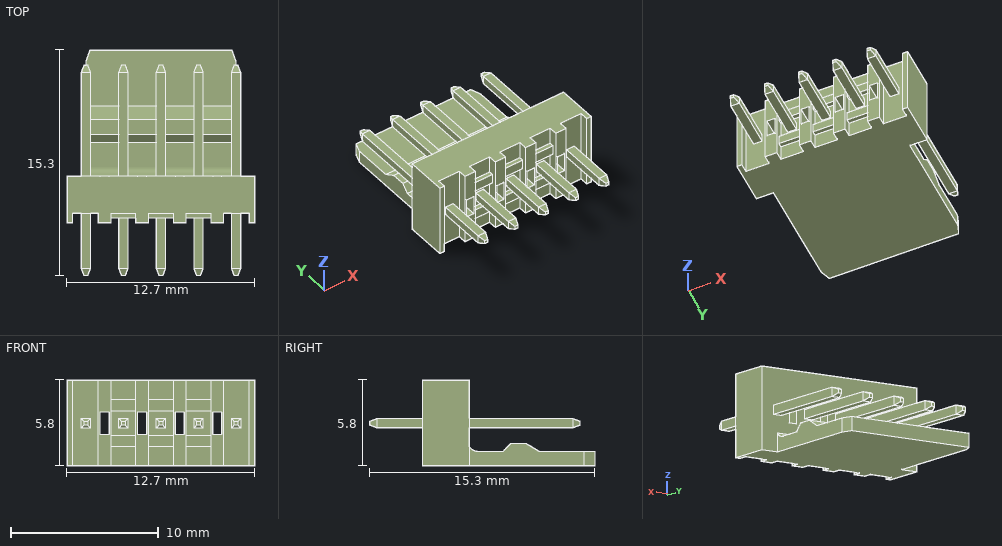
import cadquery as cq
import math

pin_count = 5
pitch = 2.54
housing_length = pin_count * pitch
housing_depth = 3.17
housing_height = 5.8
row_height = 2.88

pocket_depth = 0.65
rib_width = 0.87
end_lip = 0.38

crossbar_height = 0.75
crossbar_gap = 1.68
crossbar_projection = 0.32

window_width = 0.6
window_height = 1.5

pin_side = 0.64
tip_side = 0.26
tip_length = 0.5
pin_front_length = 3.57
pin_rear_length = 7.5

tongue_width = (pin_count - 1) * pitch
tongue_length = 8.52
tongue_thickness = 0.98
ridge_height = 1.52
ridge_near_foot = 2.28
ridge_near_crest = 2.8
ridge_far_crest = 3.83
ridge_far_foot = 4.74
root_length = 0.6
root_rise = 0.33
corner_length = 0.76
corner_width = 0.27

pin_positions = [(i - (pin_count - 1) / 2) * pitch for i in range(pin_count)]
rib_positions = [x + pitch / 2 for x in pin_positions[:-1]]


def block(x_min, x_max, y_min, y_max, z_min, z_max):
    """Box given by its limits along each axis."""
    return (
        cq.Workplane("XY")
        .box(x_max - x_min, y_max - y_min, z_max - z_min, centered=False)
        .translate((x_min, y_min, z_min))
    )


def make_housing():
    """Housing with relief pockets, crossbars and windows."""
    half_length = housing_length / 2
    body = block(-half_length, half_length, 0, housing_depth, 0, housing_height)

    left_walls = [-half_length + end_lip] + [x + rib_width / 2 for x in rib_positions]
    right_walls = [x - rib_width / 2 for x in rib_positions] + [half_length - end_lip]
    pockets = list(zip(left_walls, right_walls))
    for left, right in pockets:
        body = body.cut(block(left, right, 0, pocket_depth, 0, housing_height))

    crossbar_face = pocket_depth - crossbar_projection
    upper_bottom = row_height + crossbar_gap / 2
    lower_bottom = row_height - crossbar_gap / 2 - crossbar_height
    for left, right in pockets[1:-1]:
        for bottom in (lower_bottom, upper_bottom):
            top = bottom + crossbar_height
            body = body.union(block(left, right, crossbar_face, pocket_depth, bottom, top))

    window_bottom = row_height - window_height / 2
    window_top = row_height + window_height / 2
    for x in rib_positions:
        left = x - window_width / 2
        right = x + window_width / 2
        body = body.cut(block(left, right, 0, housing_depth, window_bottom, window_top))
    return body


def make_tongue():
    """Locking tongue: side profile with a ridge and a curved root, clipped at its end corners."""
    root_radius = (root_length**2 + root_rise**2) / (2 * root_rise)
    half_sweep = math.atan2(root_rise, root_length)
    arc_middle = (
        root_length - root_radius * math.sin(half_sweep),
        tongue_thickness + root_radius * (1 - math.cos(half_sweep)),
    )
    half_width = tongue_width / 2
    profile = (
        cq.Workplane("YZ", origin=(-half_width, housing_depth, 0))
        .moveTo(0, 0)
        .lineTo(tongue_length, 0)
        .lineTo(tongue_length, tongue_thickness)
        .lineTo(ridge_far_foot, tongue_thickness)
        .lineTo(ridge_far_crest, ridge_height)
        .lineTo(ridge_near_crest, ridge_height)
        .lineTo(ridge_near_foot, tongue_thickness)
        .lineTo(root_length, tongue_thickness)
        .threePointArc(arc_middle, (0, tongue_thickness + root_rise))
        .close()
        .extrude(tongue_width)
    )
    tongue_end = housing_depth + tongue_length
    outline = (
        cq.Workplane("XY")
        .polyline([
            (-half_width, housing_depth),
            (half_width, housing_depth),
            (half_width, tongue_end - corner_length),
            (half_width - corner_width, tongue_end),
            (-half_width + corner_width, tongue_end),
            (-half_width, tongue_end - corner_length),
        ])
        .close()
        .extrude(housing_height)
    )
    return profile.intersect(outline)


def make_tip(base_y, direction):
    """Tapered pin tip on the row axis, pointing along +Y or -Y."""
    plane = cq.Plane(origin=(0, base_y, row_height), xDir=(1, 0, 0), normal=(0, direction, 0))
    return (
        cq.Workplane(plane)
        .rect(pin_side, pin_side)
        .workplane(offset=tip_length)
        .rect(tip_side, tip_side)
        .loft(ruled=True)
    )


def make_pin():
    """Square pin at X = 0 running through the housing."""
    half_side = pin_side / 2
    shank_start = -pin_front_length + tip_length
    shank_end = housing_depth + pin_rear_length - tip_length
    bottom = row_height - half_side
    shank = block(-half_side, half_side, shank_start, shank_end, bottom, bottom + pin_side)
    return shank.union(make_tip(shank_start, -1)).union(make_tip(shank_end, 1))


result = make_housing().union(make_tongue())
pin = make_pin()
for pin_x in pin_positions:
    result = result.union(pin.translate((pin_x, 0, 0)))